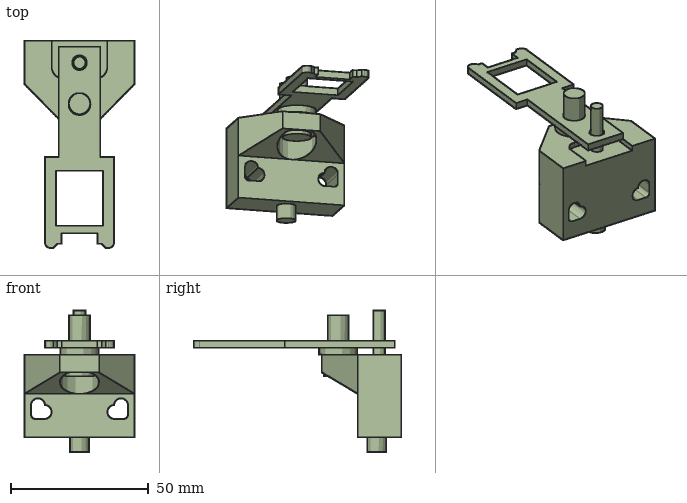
import cadquery as cq


HOUSING_WIDTH = 40.0
HOUSING_HEIGHT = 30.0
BLOCK_DEPTH = 15.8
NOSE_END = 28.95
NOSE_WIDTH = 14.2
NOSE_TIP_HEIGHT = 6.4
NOSE_ROOT_HEIGHT = 14.25

POCKET_WIDTH = 20.1
POCKET_LENGTH = 13.7
POCKET_DEPTH = 1.95
POCKET_CORNER_RADIUS = 4.0

ROD_DISTANCE = 8.1
ROD_DIAMETER = 4.4
ROD_TOP = 46.05
FOOT_DISTANCE = 8.9
FOOT_DIAMETER = 7.0
FOOT_LENGTH = 5.4

MOUNT_RADIUS = 2.5
MOUNT_X = 15.1
MOUNT_Z = 11.6
MOUNT_SHIFT = 2.4
MOUNT_CORNER_RADIUS = 1.5

PIVOT_DISTANCE = 22.9
PIVOT_DIAMETER = 7.7
PIVOT_TOP = 44.3
FLANGE_DIAMETER = 14.0
FLANGE_THICKNESS = 2.5
SHANK_DIAMETER = 10.4
SHANK_PROJECTION = 1.35
SPOT_FACE_DIAMETER = NOSE_WIDTH

PLATE_THICKNESS = 2.6
PLATE_START = 2.3
PLATE_END = 75.4
STRAP_WIDTH = 15.2
HEAD_START = 42.3
HEAD_WIDTH = 25.1
WINDOW_WIDTH = 17.0
WINDOW_START = 47.35
WINDOW_END = 67.25
NOTCH_WIDTH = 13.0
NOTCH_START = 70.0
PRONG_CHAMFER = 1.5
PRONG_SHOULDER_WIDTH = 1.5
PRONG_CORNER_RADIUS = 2.0
PIVOT_HOLE_DIAMETER = 8.0
ROD_HOLE_DIAMETER = 5.35

PLATE_BOTTOM = HOUSING_HEIGHT + FLANGE_THICKNESS
SPOT_FACE_Z = HOUSING_HEIGHT - NOSE_TIP_HEIGHT
PIVOT_HOLE_DISTANCE = PIVOT_DISTANCE + (PIVOT_HOLE_DIAMETER - PIVOT_DIAMETER) / 2


def cylinder(diameter, distance, bottom, top):
    """Vertical cylinder at the given distance in front of the back face."""
    return (
        cq.Workplane("XY", origin=(0, -distance, bottom))
        .circle(diameter / 2)
        .extrude(top - bottom)
    )


def box(width, start, end, bottom, height):
    """Box centred on X between two distances from the back face."""
    return (
        cq.Workplane("XY", origin=(0, -(start + end) / 2, bottom))
        .rect(width, end - start)
        .extrude(height)
    )


def make_housing_block():
    """Block whose tapered nose has a sloping underside."""
    half_width = HOUSING_WIDTH / 2
    half_nose = NOSE_WIDTH / 2
    plan = (
        cq.Workplane("XY")
        .polyline([
            (-half_width, 0),
            (half_width, 0),
            (half_width, -BLOCK_DEPTH),
            (half_nose, -NOSE_END),
            (-half_nose, -NOSE_END),
            (-half_width, -BLOCK_DEPTH),
        ])
        .close()
        .extrude(HOUSING_HEIGHT)
    )
    side_profile = (
        cq.Workplane("YZ", origin=(-half_width, 0, 0))
        .polyline([
            (0, 0),
            (0, HOUSING_HEIGHT),
            (-NOSE_END, HOUSING_HEIGHT),
            (-NOSE_END, HOUSING_HEIGHT - NOSE_TIP_HEIGHT),
            (-BLOCK_DEPTH, HOUSING_HEIGHT - NOSE_ROOT_HEIGHT),
            (-BLOCK_DEPTH, 0),
        ])
        .close()
        .extrude(HOUSING_WIDTH)
    )
    return plan.intersect(side_profile)


def make_pocket():
    """Cutter for the pocket, rounded at its two front corners."""
    floor = HOUSING_HEIGHT - POCKET_DEPTH
    pocket = box(POCKET_WIDTH, 0, POCKET_LENGTH, floor, POCKET_DEPTH)
    return pocket.edges("|Z and <Y").fillet(POCKET_CORNER_RADIUS)


def make_mounting_opening(side):
    """Cutter for one mounting opening; side is -1 or 1 along X."""
    lower_x = MOUNT_X - MOUNT_SHIFT
    lower_z = MOUNT_Z - MOUNT_SHIFT
    outer_x = MOUNT_X + MOUNT_RADIUS
    bottom_z = lower_z - MOUNT_RADIUS
    face = cq.Workplane("XZ")
    holes = (
        face.pushPoints([(side * MOUNT_X, MOUNT_Z)])
        .circle(MOUNT_RADIUS)
        .extrude(BLOCK_DEPTH)
        .union(
            face.pushPoints([(side * lower_x, lower_z)])
            .circle(MOUNT_RADIUS)
            .extrude(BLOCK_DEPTH)
        )
    )
    corner = (
        face.moveTo(side * lower_x, bottom_z)
        .lineTo(side * outer_x, bottom_z)
        .lineTo(side * outer_x, MOUNT_Z)
        .lineTo(side * MOUNT_X, MOUNT_Z)
        .lineTo(side * lower_x, lower_z)
        .close()
        .extrude(BLOCK_DEPTH)
    )
    outer_edge = ">X" if side > 0 else "<X"
    corner = corner.edges(f"|Y and {outer_edge}").edges("<Z").fillet(MOUNT_CORNER_RADIUS)
    return holes.union(corner)


def make_housing():
    housing = make_housing_block().cut(make_pocket())
    for side in (-1, 1):
        housing = housing.cut(make_mounting_opening(side))
    housing = housing.cut(cylinder(SPOT_FACE_DIAMETER, PIVOT_DISTANCE, 0, SPOT_FACE_Z))
    housing = housing.cut(cylinder(SHANK_DIAMETER, PIVOT_DISTANCE, SPOT_FACE_Z, HOUSING_HEIGHT))
    rod = cylinder(ROD_DIAMETER, ROD_DISTANCE, HOUSING_HEIGHT - POCKET_DEPTH, ROD_TOP)
    foot = cylinder(FOOT_DIAMETER, FOOT_DISTANCE, -FOOT_LENGTH, 0)
    return housing.union(rod).union(foot)


def make_pivot():
    """Stepped pin whose flange sits on the housing and carries the plate."""
    shank = cylinder(SHANK_DIAMETER, PIVOT_DISTANCE, SPOT_FACE_Z - SHANK_PROJECTION, HOUSING_HEIGHT)
    flange = cylinder(FLANGE_DIAMETER, PIVOT_DISTANCE, HOUSING_HEIGHT, PLATE_BOTTOM)
    pin = cylinder(PIVOT_DIAMETER, PIVOT_DISTANCE, PLATE_BOTTOM, PIVOT_TOP)
    return shank.union(flange).union(pin)


def make_prong_chamfer(side):
    """Cutter for the shoulder and bevel inside one prong tip."""
    inner_x = NOTCH_WIDTH / 2
    bevel_x = inner_x + PRONG_SHOULDER_WIDTH
    shoulder_y = -PLATE_END + PRONG_CHAMFER
    return (
        cq.Workplane("XY", origin=(0, 0, PLATE_BOTTOM))
        .polyline([
            (side * inner_x, -PLATE_END),
            (side * inner_x, shoulder_y),
            (side * bevel_x, shoulder_y),
            (side * (bevel_x + PRONG_CHAMFER), -PLATE_END),
        ])
        .close()
        .extrude(PLATE_THICKNESS)
    )


def make_plate():
    """Strap with a windowed head ending in two prongs."""
    strap = box(STRAP_WIDTH, PLATE_START, HEAD_START, PLATE_BOTTOM, PLATE_THICKNESS)
    head = box(HEAD_WIDTH, HEAD_START, PLATE_END, PLATE_BOTTOM, PLATE_THICKNESS)
    head = head.edges("|Z and <Y").fillet(PRONG_CORNER_RADIUS)
    plate = strap.union(head)
    plate = plate.cut(box(WINDOW_WIDTH, WINDOW_START, WINDOW_END, PLATE_BOTTOM, PLATE_THICKNESS))
    plate = plate.cut(box(NOTCH_WIDTH, NOTCH_START, PLATE_END, PLATE_BOTTOM, PLATE_THICKNESS))
    for side in (-1, 1):
        plate = plate.cut(make_prong_chamfer(side))
    plate_top = PLATE_BOTTOM + PLATE_THICKNESS
    plate = plate.cut(cylinder(PIVOT_HOLE_DIAMETER, PIVOT_HOLE_DISTANCE, PLATE_BOTTOM, plate_top))
    return plate.cut(cylinder(ROD_HOLE_DIAMETER, ROD_DISTANCE, PLATE_BOTTOM, plate_top))


housing = make_housing()
pivot = make_pivot()
plate = make_plate()
result = cq.Compound.makeCompound([housing.val(), pivot.val(), plate.val()])